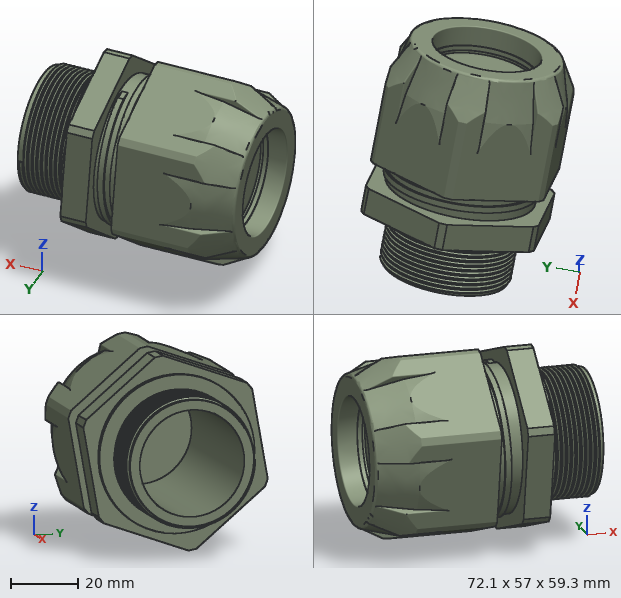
import cadquery as cq
import math

TOTAL_LENGTH = 72.05

ACROSS_FLATS = 53.0
CORNER_RADIUS = 29.9
CORNER_ANGLE = 10.0
HEX_SIDES = 6

CAP_LENGTH = 37.6
CAP_FACE_RADIUS = 22.3
CAP_RIM_RADIUS = 23.35
CAP_RIM_LENGTH = 0.7
SHOULDER_X = 12.75
CAP_BORE_DIAMETER = 33.1
CAP_BORE_DEPTH = 6.2
BORE_EDGE_FILLET = 0.35
PAD_FILLET = 0.35

SCALLOP_ANGLE = 35.0
SCALLOP_TIP_X = 22.3
SCALLOP_TIP_RADIUS = 27.9
CORE_RADIUS = 28.45

SEAL_DIAMETER = 40.8
SEAL_LIP_DIAMETER = 32.55
SEAL_LIP_DEPTH = 1.5
PLUG_DIAMETER = 32.35
PLUG_FACE_X = 8.2
PLUG_FACE_DIAMETER = 28.1
PLUG_CROWN_DEPTH = 0.3

SLEEVE_START_X = 14.4
SLEEVE_DIAMETER = 45.5
NUT_START_X = 45.8
NUT_LENGTH = 8.3

COUPLING_DIAMETER = 47.05
COUPLING_PITCH = 4.0
COUPLING_WIDTH = 1.95
COUPLING_TURNS = 3
COUPLING_END_X = 44.15
COUPLING_END_ANGLE = 172.0
RUNOUT_HEIGHT = 22.55

GASKET_DIAMETER = 48.0
GASKET_THICKNESS = 1.6

THREAD_ROOT_DIAMETER = 38.25
THREAD_CREST_DIAMETER = 39.6
THREAD_LENGTH = 15.7
THREAD_TURNS = 10.5
THREAD_BASE = 1.15
THREAD_END_X = 71.2
THREAD_END_ANGLE = 90.0

CLEARANCE = 0.35
ROOT_OVERLAP = 0.15

NUT_END_X = NUT_START_X + NUT_LENGTH
GASKET_END_X = NUT_END_X + GASKET_THICKNESS
FLAT_RADIUS = ACROSS_FLATS / 2
SHARP_CORNER_RADIUS = FLAT_RADIUS / math.cos(math.pi / HEX_SIDES)


def cylinder(start_x, end_x, diameter):
    return cq.Workplane("YZ").workplane(offset=start_x).circle(diameter / 2).extrude(end_x - start_x)


def turned(profile):
    """Full turn about the X axis of a profile drawn as (x, radius)."""
    return profile.close().revolve(360, (0, 0, 0), (1, 0, 0))


def blunt_hexagon(start_x, end_x):
    """Hexagonal prism along X whose corners are cut by flats square to their radius."""

    def prism(corner_radius, first_angle):
        angles = [math.radians(first_angle + side * 360 / HEX_SIDES) for side in range(HEX_SIDES)]
        points = [(corner_radius * math.cos(a), corner_radius * math.sin(a)) for a in angles]
        plane = cq.Workplane("YZ").workplane(offset=start_x)
        return plane.polyline(points).close().extrude(end_x - start_x)

    half_step = 180 / HEX_SIDES
    first_corner = 90 + CORNER_ANGLE
    hexagon = prism(SHARP_CORNER_RADIUS, first_corner)
    blunting = prism(CORNER_RADIUS / math.cos(math.pi / HEX_SIDES), first_corner + half_step)
    return hexagon.intersect(blunting)


def helical_ridge(profile, pitch, turns, end_x, end_angle):
    """Right-handed ridge around X. The profile is (radius, distance along the axis) points."""
    height = pitch * turns
    path = cq.Wire.makeHelix(pitch, height, profile[0][0])
    ridge = cq.Workplane("XZ").polyline(profile).close().sweep(cq.Workplane(obj=path), isFrenet=True)
    ridge = ridge.rotate((0, 0, 0), (0, 0, 1), end_angle - 360 * turns)
    ridge = ridge.rotate((0, 0, 0), (0, 1, 0), 90)
    return ridge.translate((end_x - height, 0, 0))


def make_cap_core():
    """Hexagon whose front is turned down to the floor of the scallops."""
    floor_slope = (SCALLOP_TIP_RADIUS - FLAT_RADIUS) / (SCALLOP_TIP_X - SHOULDER_X)
    core = turned(
        cq.Workplane("XY")
        .lineTo(0, CAP_FACE_RADIUS)
        .tangentArcPoint((CAP_RIM_LENGTH, CAP_RIM_RADIUS), relative=False)
        .lineTo(SHOULDER_X, FLAT_RADIUS)
        .lineTo(SHOULDER_X + (CORE_RADIUS - FLAT_RADIUS) / floor_slope, CORE_RADIUS)
        .lineTo(CAP_LENGTH, CORE_RADIUS)
        .lineTo(CAP_LENGTH, 0)
    )
    return blunt_hexagon(0, CAP_LENGTH).intersect(core)


def make_corner_pad():
    """Wedge of the hexagon around its corner nearest +Z, with a conical nose and rounded edges."""
    nose_slope = (CORNER_RADIUS - CAP_RIM_RADIUS) / (SHOULDER_X - CAP_RIM_LENGTH)
    outside = SHARP_CORNER_RADIUS + CLEARANCE
    pad_angle = 360 / HEX_SIDES - SCALLOP_ANGLE
    wedge = (
        cq.Workplane("XY")
        .moveTo(CAP_RIM_LENGTH, 0)
        .lineTo(CAP_RIM_LENGTH, CAP_RIM_RADIUS)
        .lineTo(CAP_RIM_LENGTH + (outside - CAP_RIM_RADIUS) / nose_slope, outside)
        .lineTo(CAP_LENGTH, outside)
        .lineTo(CAP_LENGTH, 0)
        .close()
        .revolve(pad_angle, (0, 0, 0), (1, 0, 0))
        .rotate((0, 0, 0), (1, 0, 0), 90 + CORNER_ANGLE - pad_angle / 2)
    )
    pad = blunt_hexagon(0, CAP_LENGTH).intersect(wedge)
    outer_edges = cq.selectors.BoxSelector(
        (CAP_RIM_LENGTH + CLEARANCE, -outside, CAP_RIM_RADIUS / 2), (CAP_LENGTH - CLEARANCE, outside, outside)
    )
    return pad.edges(outer_edges).fillet(PAD_FILLET)


def make_cap():
    cap = make_cap_core()
    pad = make_corner_pad()
    for side in range(HEX_SIDES):
        cap = cap.union(pad.rotate((0, 0, 0), (1, 0, 0), side * 360 / HEX_SIDES))
    cap = cap.cut(cylinder(0, CAP_BORE_DEPTH, CAP_BORE_DIAMETER))
    cap = cap.faces("<X").edges("%CIRCLE").edges(cq.selectors.RadiusNthSelector(0)).fillet(BORE_EDGE_FILLET)
    cap = cap.cut(cylinder(CAP_BORE_DEPTH, SLEEVE_START_X, SEAL_DIAMETER))
    return cap.cut(cylinder(SLEEVE_START_X, CAP_LENGTH, COUPLING_DIAMETER))


def make_seal():
    """Ring behind the cap shoulder, slightly wider at its mouth."""
    seal = cylinder(CAP_BORE_DEPTH, SLEEVE_START_X, SEAL_DIAMETER)
    seal = seal.cut(cylinder(CAP_BORE_DEPTH, SLEEVE_START_X, PLUG_DIAMETER))
    return seal.cut(cylinder(CAP_BORE_DEPTH, CAP_BORE_DEPTH + SEAL_LIP_DEPTH, SEAL_LIP_DIAMETER))


def make_plug():
    """Disc whose flat face curves slightly back towards its edge."""
    edge_x = PLUG_FACE_X + PLUG_CROWN_DEPTH
    return turned(
        cq.Workplane("XY")
        .moveTo(PLUG_FACE_X, 0)
        .lineTo(PLUG_FACE_X, PLUG_FACE_DIAMETER / 2)
        .tangentArcPoint((edge_x, PLUG_DIAMETER / 2), relative=False)
        .lineTo(SLEEVE_START_X, PLUG_DIAMETER / 2)
        .lineTo(SLEEVE_START_X, 0)
    )


def make_gasket():
    gasket = cylinder(NUT_END_X, GASKET_END_X, GASKET_DIAMETER)
    return gasket.cut(cylinder(NUT_END_X, GASKET_END_X, THREAD_ROOT_DIAMETER))


def make_coupling_thread():
    inner = SLEEVE_DIAMETER / 2 - ROOT_OVERLAP
    outer = COUPLING_DIAMETER / 2
    half = COUPLING_WIDTH / 2
    profile = [(inner, -half), (outer, -half), (outer, half), (inner, half)]
    ridge = helical_ridge(profile, COUPLING_PITCH, COUPLING_TURNS, COUPLING_END_X, COUPLING_END_ANGLE)
    runout = cq.Workplane("XY").box(COUPLING_PITCH, outer, outer, centered=(True, False, False))
    return ridge.cut(runout.translate((COUPLING_END_X, 0, RUNOUT_HEIGHT)))


def make_mounting_thread():
    root = THREAD_ROOT_DIAMETER / 2
    crest = THREAD_CREST_DIAMETER / 2
    half = THREAD_BASE / 2 * (crest - root + ROOT_OVERLAP) / (crest - root)
    profile = [(root - ROOT_OVERLAP, -half), (crest, 0), (root - ROOT_OVERLAP, half)]
    return helical_ridge(profile, THREAD_LENGTH / THREAD_TURNS, THREAD_TURNS, THREAD_END_X, THREAD_END_ANGLE)


def make_body(gasket):
    """Sleeve, hexagon and threaded stem around one through bore; the stem thread starts at the gasket."""
    sleeve = cylinder(SLEEVE_START_X, NUT_START_X, SLEEVE_DIAMETER).union(make_coupling_thread())
    stem = cylinder(NUT_END_X, TOTAL_LENGTH, THREAD_ROOT_DIAMETER).union(make_mounting_thread()).cut(gasket)
    body = blunt_hexagon(NUT_START_X, NUT_END_X).union(sleeve).union(stem)
    return body.cut(cylinder(SLEEVE_START_X, TOTAL_LENGTH, PLUG_DIAMETER))


cap = make_cap()
seal = make_seal()
plug = make_plug()
gasket = make_gasket()
body = make_body(gasket)

bodies = [cap, seal, plug, gasket, body]
result = cq.Compound.makeCompound([part.solids().val() for part in bodies])